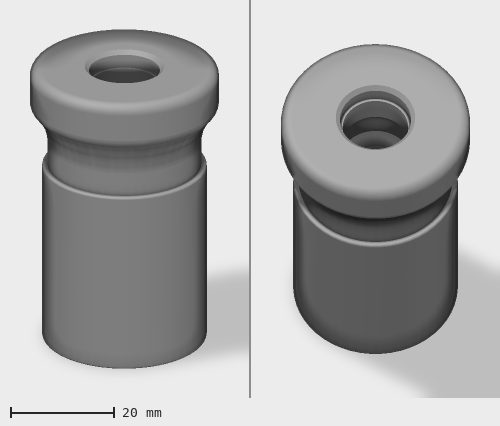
import cadquery as cq
import math

total_height = 57.15
sleeve_height = 36.5
neck_arc_bottom = 41.4

head_diameter = 36.5
head_radius = head_diameter / 2
head_fillet = 2.0
neck_radius = 14.85
neck_arc_radius = 10.0
underside_angle = math.radians(41)

sleeve_radius = 15.9
shank_radius = 15.1
sleeve_top_fillet = 0.45
sleeve_bottom_fillet = 0.4

mouth_radius = 6.85
mouth_chamfer = 0.8
mouth_depth = 3.5
lip_radius = 6.35
lip_depth = 8.8

chamber_radius = mouth_radius
chamber_depth = 14.3
flare_angle = math.radians(26)

entry_radius = 6.0
throat_radius = 4.45
throat_taper_height = 3.45
outlet_radius = 3.5


def circle_point(center, radius, angle):
    """Point on a circle in the half-section, with the angle measured from the outward radius."""
    center_r, center_z = center
    return (center_r + radius * math.cos(angle), center_z + radius * math.sin(angle))


def revolve_section(section):
    """Turn a closed half-section around the Z axis."""
    return section.close().revolve(360, (0, 0), (0, 1))


def make_knob_blank():
    """Solid shank, neck and rounded head."""
    arc_center = (neck_radius + neck_arc_radius, neck_arc_bottom)
    arc_middle = circle_point(arc_center, neck_arc_radius, math.pi - underside_angle / 2)
    arc_end = circle_point(arc_center, neck_arc_radius, math.pi - underside_angle)
    arc_end_r, arc_end_z = arc_end

    fillet_center_r = head_radius - head_fillet
    cone_end_r = fillet_center_r + head_fillet * math.cos(underside_angle)
    cone_end_z = arc_end_z + (cone_end_r - arc_end_r) / math.tan(underside_angle)
    lower_fillet_z = cone_end_z + head_fillet * math.sin(underside_angle)
    lower_middle = circle_point((fillet_center_r, lower_fillet_z), head_fillet, -underside_angle / 2)

    upper_fillet_z = total_height - head_fillet
    upper_middle = circle_point((fillet_center_r, upper_fillet_z), head_fillet, math.pi / 4)

    section = (
        cq.Workplane("XZ")
        .lineTo(shank_radius, 0)
        .lineTo(shank_radius, sleeve_height)
        .lineTo(neck_radius, sleeve_height)
        .lineTo(neck_radius, neck_arc_bottom)
        .threePointArc(arc_middle, arc_end)
        .lineTo(cone_end_r, cone_end_z)
        .threePointArc(lower_middle, (head_radius, lower_fillet_z))
        .lineTo(head_radius, upper_fillet_z)
        .threePointArc(upper_middle, (fillet_center_r, total_height))
        .lineTo(0, total_height)
    )
    return revolve_section(section)


def make_knob_bore():
    """Space inside the knob: stepped mouth, flared chamber, rounded throat and through hole."""
    mouth_floor = total_height - mouth_depth
    lip_bottom = total_height - lip_depth
    flare_bottom = lip_bottom - (chamber_radius - lip_radius) / math.tan(flare_angle)
    chamber_floor = total_height - chamber_depth

    entry_fillet = entry_radius - throat_radius
    throat_top = chamber_floor - entry_fillet
    entry_middle = circle_point((entry_radius, throat_top), entry_fillet, math.radians(135))

    section = (
        cq.Workplane("XZ")
        .lineTo(outlet_radius, 0)
        .lineTo(outlet_radius, throat_top - throat_taper_height)
        .lineTo(throat_radius, throat_top)
        .threePointArc(entry_middle, (entry_radius, chamber_floor))
        .lineTo(chamber_radius, chamber_floor)
        .lineTo(chamber_radius, flare_bottom)
        .lineTo(lip_radius, lip_bottom)
        .lineTo(lip_radius, mouth_floor)
        .lineTo(mouth_radius, mouth_floor)
        .lineTo(mouth_radius, total_height - mouth_chamfer)
        .lineTo(mouth_radius + mouth_chamfer, total_height)
        .lineTo(0, total_height)
    )
    return revolve_section(section)


def make_knob():
    """Headed knob with its bore."""
    return make_knob_blank().cut(make_knob_bore())


def make_sleeve():
    """Thin tube around the shank, with rounded outer rims."""
    tube = cq.Workplane("XY").circle(sleeve_radius).extrude(sleeve_height)
    tube = tube.faces(">Z").edges().fillet(sleeve_top_fillet)
    tube = tube.faces("<Z").edges().fillet(sleeve_bottom_fillet)
    return tube.cut(cq.Workplane("XY").circle(shank_radius).extrude(sleeve_height))


knob = make_knob()
sleeve = make_sleeve()
result = cq.Compound.makeCompound([knob.val(), sleeve.val()])